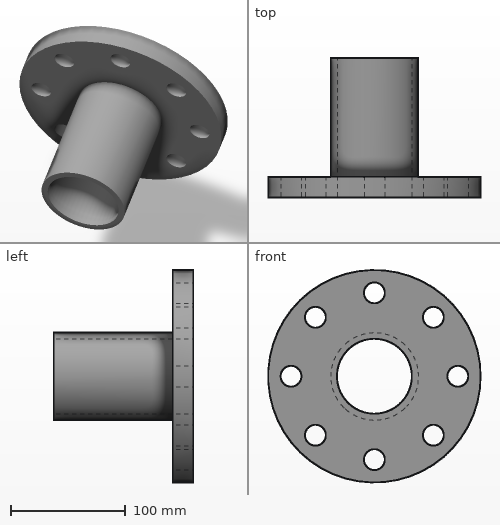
import cadquery as cq

flange_diameter = 185.0
flange_thickness = 18.0

total_length = 121.4
tube_diameter = 76.2
bore_diameter = 65.0

bolt_circle_diameter = 145.0
bolt_hole_diameter = 18.0
bolt_hole_count = 8


def cylinder_along_y(diameter, length):
    """Solid cylinder from the flange face (Y = 0) toward +Y."""
    return cq.Workplane("XZ").circle(diameter / 2).extrude(-length)


def bolt_holes():
    """Cutters for the ring of bolt holes, the first one on the +X axis."""
    return (
        cq.Workplane("XZ")
        .polarArray(bolt_circle_diameter / 2, 0, 360, bolt_hole_count)
        .circle(bolt_hole_diameter / 2)
        .extrude(-flange_thickness)
    )


flange = cylinder_along_y(flange_diameter, flange_thickness)
tube = cylinder_along_y(tube_diameter, total_length)
bore = cylinder_along_y(bore_diameter, total_length)

result = flange.union(tube).cut(bore).cut(bolt_holes())